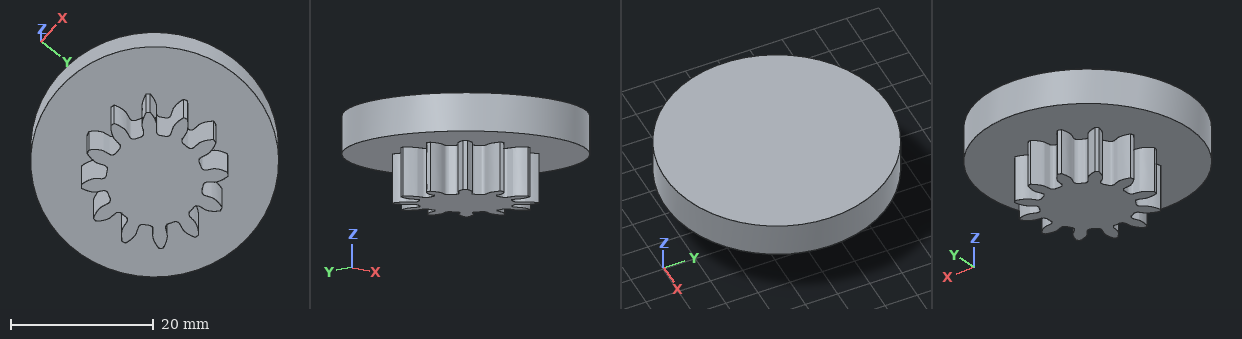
import cadquery as cq
import math

disc_diameter = 34.8
disc_thickness = 5.5
total_height = 12.5

tooth_count = 12
tip_radius = 10.3
base_radius = 8.4
fillet_top_radius = 7.5
root_radius = 6.82
half_tooth_at_base = math.radians(7.0)
half_root_land = math.radians(3.1)
flank_points = 6

pitch_angle = 2 * math.pi / tooth_count
gear_height = total_height - disc_thickness


def polar(radius, angle):
    return (radius * math.cos(angle), radius * math.sin(angle))


def involute_angle(radius):
    """Angle swept by the involute between the base circle and this radius."""
    pressure_angle = math.acos(base_radius / radius)
    return math.tan(pressure_angle) - pressure_angle


def flank(centre, side):
    """Involute points from base to tip; side is -1 or +1 of the tooth centre."""
    points = []
    for step in range(flank_points + 1):
        radius = base_radius + (tip_radius - base_radius) * step / flank_points
        half_angle = half_tooth_at_base - involute_angle(radius)
        points.append(polar(radius, centre + side * half_angle))
    return points


def root_fillet_middle(gap_centre, side):
    """Middle point of the concave arc from the root land to the radial flank."""
    half_gap = pitch_angle / 2 - half_tooth_at_base
    land_x, land_y = polar(root_radius, half_root_land)
    top_x, top_y = polar(fillet_top_radius, half_gap)
    bulge = math.tan(math.pi / 8) / 2
    x = (land_x + top_x) / 2 - (top_y - land_y) * bulge
    y = (land_y + top_y) / 2 + (top_x - land_x) * bulge
    return polar(math.hypot(x, y), gap_centre + side * math.atan2(y, x))


def gear_outline():
    outline = cq.Workplane("XY").moveTo(*polar(root_radius, -half_root_land))
    for tooth in range(tooth_count):
        gap = tooth * pitch_angle
        centre = gap + pitch_angle / 2
        next_gap = gap + pitch_angle
        rising = flank(centre, -1)
        falling = flank(centre, 1)[::-1]
        outline = (
            outline.threePointArc(polar(root_radius, gap), polar(root_radius, gap + half_root_land))
            .threePointArc(
                root_fillet_middle(gap, 1),
                polar(fillet_top_radius, centre - half_tooth_at_base),
            )
            .lineTo(*rising[0])
            .spline(rising[1:], includeCurrent=True)
            .threePointArc(polar(tip_radius, centre), falling[0])
            .spline(falling[1:], includeCurrent=True)
            .lineTo(*polar(fillet_top_radius, centre + half_tooth_at_base))
            .threePointArc(
                root_fillet_middle(next_gap, -1),
                polar(root_radius, next_gap - half_root_land),
            )
        )
    return outline.close()


gear = gear_outline().extrude(gear_height)
disc = cq.Workplane("XY").workplane(offset=gear_height).circle(disc_diameter / 2).extrude(disc_thickness)
result = disc.union(gear)